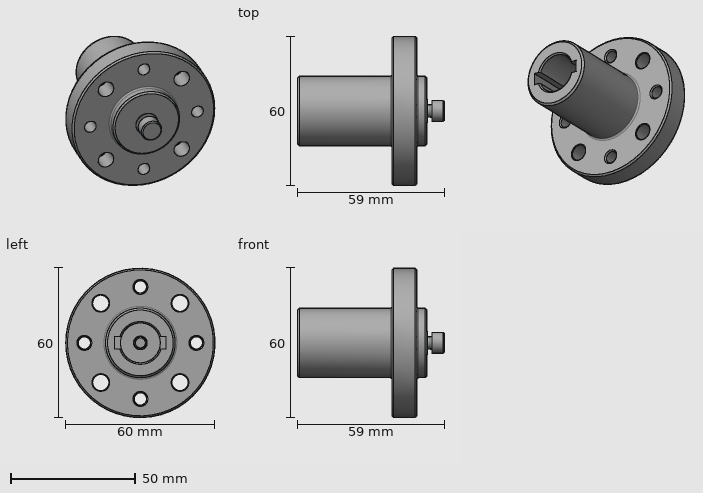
import cadquery as cq
import math


sleeve_dia = 28.0
flange_start = 38.0
flange_thickness = 10.0
flange_end = flange_start + flange_thickness
spigot_length = 4.0
housing_length = flange_end + spigot_length
sleeve_chamfer = 0.8
spigot_chamfer = 0.7

flange_dia = 60.0
flange_chamfer = 0.7
root_fillet = 0.65

pitch_dia = 45.0
holes_per_kind = 4
plain_hole_dia = 6.5
plain_hole_chamfer = 0.3
plain_hole_start_angle = 45
tapped_hole_dia = 4.92
tapped_hole_chamfer = 0.54
tapped_hole_start_angle = 0

bore_dia = 16.0
bore_depth = 42.0
bore_chamfer = 0.6
keyway_width = 5.0
keyway_span = 20.6
keyway_length = 36.0

screw_hole_dia = 5.5
screw_dia = 5.0
screw_tip_chamfer = 0.5
head_dia = 8.5
head_height = 5.0
head_start = 54.0
head_chamfer = 0.5
neck_length = 0.7
neck_flare = 0.2
screw_tip = bore_depth
washer_dia = 9.2
washer_hole_dia = 5.1
washer_thickness = 1.2
washer_stand_out = 0.2
washer_seat_depth = washer_thickness - washer_stand_out


def cylinder(dia, start, length):
    """Solid cylinder along +X from X = start."""
    return cq.Workplane("YZ", origin=(start, 0, 0)).circle(dia / 2).extrude(length)


def countersink(dia, chamfer, start):
    """Cone that breaks the edge of a hole by an equal-leg chamfer."""
    mouth_radius = dia / 2 + chamfer
    return cq.Workplane(cq.Solid.makeCone(mouth_radius, dia / 2, chamfer,
                                          cq.Vector(start, 0, 0), cq.Vector(1, 0, 0)))


def make_housing_blank():
    """Revolved outside of the sleeve, flange and spigot."""
    sleeve_r = sleeve_dia / 2
    flange_r = flange_dia / 2
    root_r = sleeve_r + root_fillet
    mid_arc = root_fillet * (1 - math.cos(math.radians(45)))
    return (
        cq.Workplane("XY")
        .moveTo(0, 0)
        .lineTo(0, sleeve_r - sleeve_chamfer)
        .lineTo(sleeve_chamfer, sleeve_r)
        .lineTo(flange_start - root_fillet, sleeve_r)
        .threePointArc((flange_start - mid_arc, sleeve_r + mid_arc), (flange_start, root_r))
        .lineTo(flange_start, flange_r - flange_chamfer)
        .lineTo(flange_start + flange_chamfer, flange_r)
        .lineTo(flange_end - flange_chamfer, flange_r)
        .lineTo(flange_end, flange_r - flange_chamfer)
        .lineTo(flange_end, root_r)
        .threePointArc((flange_end + mid_arc, sleeve_r + mid_arc), (flange_end + root_fillet, sleeve_r))
        .lineTo(housing_length - spigot_chamfer, sleeve_r)
        .lineTo(housing_length, sleeve_r - spigot_chamfer)
        .lineTo(housing_length, 0)
        .close()
        .revolve(360, (0, 0, 0), (1, 0, 0))
    )


def cut_flange_holes(body, dia, chamfer, start_angle):
    """Ring of through holes, chamfered on the sleeve side of the flange."""
    hole = cylinder(dia, flange_start, flange_thickness)
    hole = hole.union(countersink(dia, chamfer, flange_start)).translate((0, pitch_dia / 2, 0))
    for index in range(holes_per_kind):
        angle = start_angle + index * 360 / holes_per_kind
        body = body.cut(hole.rotate((0, 0, 0), (1, 0, 0), angle))
    return body


def make_housing():
    body = make_housing_blank()
    body = cut_flange_holes(body, plain_hole_dia, plain_hole_chamfer, plain_hole_start_angle)
    body = cut_flange_holes(body, tapped_hole_dia, tapped_hole_chamfer, tapped_hole_start_angle)

    bore = cylinder(bore_dia, 0, bore_depth)
    keyways = cq.Workplane("YZ").rect(keyway_span, keyway_width).extrude(keyway_length)
    screw_hole = cylinder(screw_hole_dia, 0, housing_length)
    washer_seat = cylinder(washer_dia, housing_length - washer_seat_depth, washer_seat_depth)
    body = body.cut(bore).cut(countersink(bore_dia, bore_chamfer, 0)).cut(keyways)
    return body.cut(screw_hole).cut(washer_seat)


def make_washer():
    start = housing_length - washer_seat_depth
    ring = cylinder(washer_dia, start, washer_thickness)
    return ring.cut(cylinder(washer_hole_dia, start, washer_thickness))


def make_screw():
    """Cap screw with a chamfered tip and a small flare under its head."""
    shank_r = screw_dia / 2
    head_r = head_dia / 2
    head_end = head_start + head_height
    return (
        cq.Workplane("XY")
        .moveTo(screw_tip, 0)
        .lineTo(screw_tip, shank_r - screw_tip_chamfer)
        .lineTo(screw_tip + screw_tip_chamfer, shank_r)
        .lineTo(head_start - neck_length, shank_r)
        .lineTo(head_start, shank_r + neck_flare)
        .lineTo(head_start, head_r)
        .lineTo(head_end - head_chamfer, head_r)
        .lineTo(head_end, head_r - head_chamfer)
        .lineTo(head_end, 0)
        .close()
        .revolve(360, (0, 0, 0), (1, 0, 0))
    )


housing = make_housing()
washer = make_washer()
screw = make_screw()

result = cq.Compound.makeCompound([housing.val(), washer.val(), screw.val()])